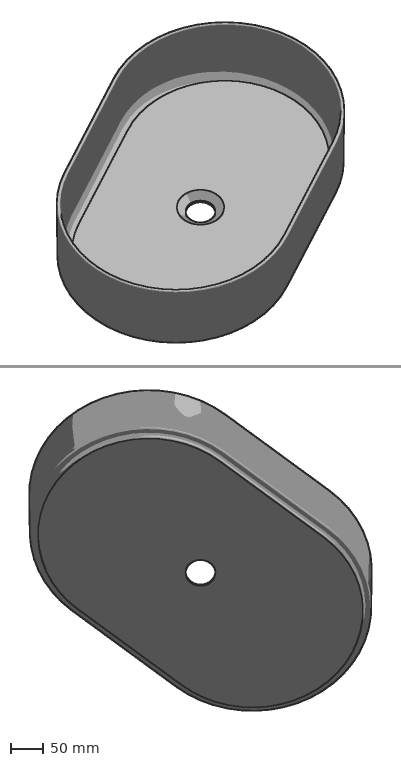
import cadquery as cq
import math

length = 580.0
width = 370.0
height = 130.0
end_radius = width / 2
straight_length = length - width

foot_inset = 14.0
foot_fillet = 4.95
underside = 10.5
wall_edge_radius = 2.5
wall_lean = 0.85
wall_lean_bottom = 22.5

rim_width = 6.0
rim_round = 2.0

corner_inset = 12.0
corner_top = 40.0
floor_inset = 24.0
floor_level = 20.5

drain_diameter = 46.0
countersink_diameter = 73.0
countersink_top = 14.0
countersink_bottom = 4.35


def round_offset(radius):
    """Distance from a sharp corner to the middle of its 90 degree round, along each axis."""
    return radius * (1 - math.sqrt(0.5))


def wall_section():
    """Half section of the basin, from the centre line at radius 0 out to the wall."""
    edge_mid = round_offset(wall_edge_radius)
    rim_mid = round_offset(rim_round)
    base_radius = end_radius - wall_lean
    foot_mid = round_offset(foot_fillet)
    foot_radius = end_radius - foot_inset
    inner_radius = end_radius - rim_width
    corner_run = floor_inset - corner_inset
    corner_rise = corner_top - floor_level
    corner_mid = (
        end_radius - floor_inset + corner_run * math.sqrt(0.5),
        corner_top - corner_rise * math.sqrt(0.5),
    )
    return (
        cq.Workplane("XZ")
        .moveTo(0, 0)
        .lineTo(foot_radius, 0)
        .lineTo(foot_radius, underside - foot_fillet)
        .threePointArc((foot_radius + foot_mid, underside - foot_mid), (foot_radius + foot_fillet, underside))
        .lineTo(base_radius - wall_edge_radius, underside)
        .threePointArc(
            (base_radius - edge_mid, underside + edge_mid),
            (base_radius, underside + wall_edge_radius),
        )
        .lineTo(base_radius, wall_lean_bottom)
        .lineTo(end_radius, height - rim_round)
        .threePointArc((end_radius - rim_mid, height - rim_mid), (end_radius - rim_round, height))
        .lineTo(inner_radius + rim_round, height)
        .threePointArc((inner_radius + rim_mid, height - rim_mid), (inner_radius, height - rim_round))
        .lineTo(end_radius - corner_inset, corner_top)
        .threePointArc(corner_mid, (end_radius - floor_inset, floor_level))
        .lineTo(0, floor_level)
        .close()
    )


def basin_body():
    """Sweep the half section round the oval: two straight halves and two round ends."""
    straight_half = wall_section().extrude(straight_length / 2, both=True)
    body = straight_half.union(straight_half.mirror("YZ"))
    round_end = wall_section().revolve(180, (0, 0, 0), (0, 1, 0)).translate((0, straight_length / 2, 0))
    return body.union(round_end).union(round_end.mirror("XZ"))


def floor_fall():
    """Volume removed so the flat floor falls evenly from its edge to the drain."""
    floor_length = length - 2 * floor_inset
    floor_width = width - 2 * floor_inset
    return (
        cq.Workplane("XY", origin=(0, 0, floor_level))
        .slot2D(floor_length, floor_width, 90)
        .workplane(offset=countersink_top - floor_level)
        .circle(countersink_diameter / 2)
        .loft(ruled=True)
    )


def drain():
    """Countersink and through hole on the basin's vertical centre line."""
    return (
        cq.Workplane("XZ")
        .lineTo(drain_diameter / 2, 0)
        .lineTo(drain_diameter / 2, countersink_bottom)
        .lineTo(countersink_diameter / 2, countersink_top)
        .lineTo(0, countersink_top)
        .close()
        .revolve(360, (0, 0, 0), (0, 1, 0))
    )


result = basin_body().cut(floor_fall()).cut(drain())